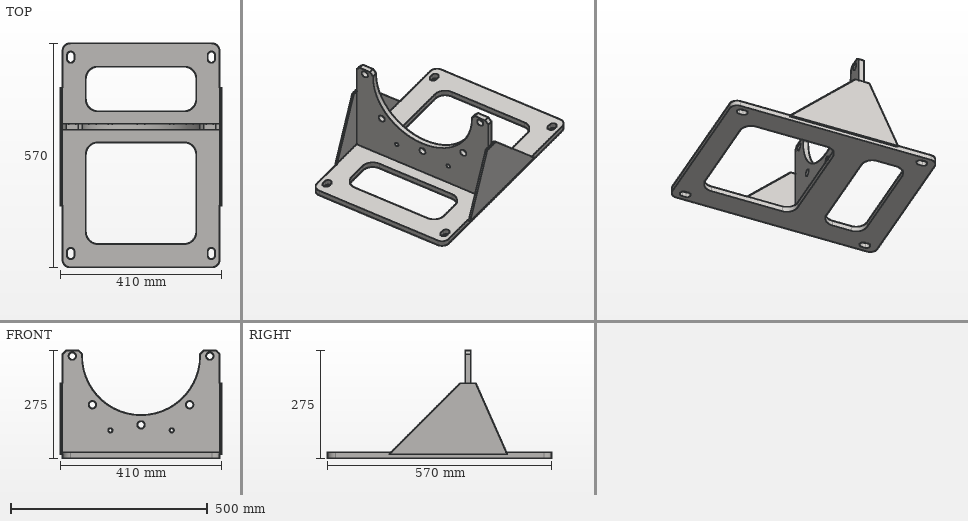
import cadquery as cq
import math

overall_width = 410.0
overall_depth = 570.0
overall_height = 275.0
gusset_thickness = 5.0
plate_width = overall_width - 2 * gusset_thickness

base_thickness = 16.0
base_corner_radius = 20.0
opening_rim = 60.0
opening_web = 80.0
opening_corner_radius = 30.0
slot_width = 18.0
slot_length = 28.0
slot_inset_x = 21.0
slot_inset_y = 35.5

cradle_thickness = 15.0
cradle_y = 72.5
arm_width = 50.0
arm_chamfer = 9.5
saddle_radius = plate_width / 2 - arm_width
saddle_drop = 15.0
saddle_z = overall_height - saddle_drop
bolt_circle_radius = saddle_radius + arm_width / 2
bolt_hole_diameter = 18.0
bolt_angles = range(180, 361, 45)
small_hole_diameter = 10.0
small_hole_x = 78.0
small_hole_z = 71.0

gusset_lap = gusset_thickness
gusset_bottom = base_thickness - gusset_lap
gusset_height = 180.0
gusset_top_half = 20.0
gusset_reach_back = 100.0
gusset_reach_front = 200.0


def base_opening(y_front, y_back):
    """Cutter for a rounded rectangular window between two Y positions."""
    return (
        cq.Workplane("XY")
        .center(0, (y_front + y_back) / 2)
        .rect(plate_width - 2 * opening_rim, y_back - y_front)
        .extrude(base_thickness)
        .edges("|Z")
        .fillet(opening_corner_radius)
    )


def make_base():
    """Flat base with two windows and a mounting slot at each corner."""
    plate = (
        cq.Workplane("XY")
        .rect(plate_width, overall_depth)
        .extrude(base_thickness)
        .edges("|Z")
        .fillet(base_corner_radius)
    )
    slots = (
        cq.Workplane("XY")
        .rect(plate_width - 2 * slot_inset_x, overall_depth - 2 * slot_inset_y, forConstruction=True)
        .vertices()
        .slot2D(slot_length, slot_width, 90)
        .extrude(base_thickness)
    )
    rim_y = overall_depth / 2 - opening_rim
    front_opening = base_opening(-rim_y, cradle_y - opening_web / 2)
    back_opening = base_opening(cradle_y + opening_web / 2, rim_y)
    return plate.cut(slots).cut(front_opening).cut(back_opening)


def make_cradle():
    """Upright plate with a semicircular saddle, chamfered arms and bolt holes."""
    half_width = plate_width / 2
    shoulder_z = overall_height - arm_chamfer
    front_plane = cq.Workplane("XZ").workplane(offset=-(cradle_y + cradle_thickness / 2))
    plate = (
        front_plane
        .moveTo(-half_width, base_thickness)
        .lineTo(half_width, base_thickness)
        .lineTo(half_width, shoulder_z)
        .lineTo(half_width - arm_chamfer, overall_height)
        .lineTo(saddle_radius + arm_chamfer, overall_height)
        .lineTo(saddle_radius, shoulder_z)
        .lineTo(saddle_radius, saddle_z)
        .threePointArc((0, saddle_z - saddle_radius), (-saddle_radius, saddle_z))
        .lineTo(-saddle_radius, shoulder_z)
        .lineTo(-saddle_radius - arm_chamfer, overall_height)
        .lineTo(-half_width + arm_chamfer, overall_height)
        .lineTo(-half_width, shoulder_z)
        .close()
        .extrude(cradle_thickness)
    )
    bolt_points = [
        (
            bolt_circle_radius * math.cos(math.radians(angle)),
            saddle_z + bolt_circle_radius * math.sin(math.radians(angle)),
        )
        for angle in bolt_angles
    ]
    small_points = [(side * small_hole_x, small_hole_z) for side in (-1, 1)]
    bolt_holes = front_plane.pushPoints(bolt_points).circle(bolt_hole_diameter / 2).extrude(cradle_thickness)
    small_holes = front_plane.pushPoints(small_points).circle(small_hole_diameter / 2).extrude(cradle_thickness)
    return plate.cut(bolt_holes).cut(small_holes)


def make_gusset(start_x):
    """Side plate starting at start_x and extending gusset_thickness in +X."""
    gusset_top = gusset_bottom + gusset_height
    return (
        cq.Workplane("YZ")
        .workplane(offset=start_x)
        .moveTo(cradle_y - gusset_reach_front, gusset_bottom)
        .lineTo(cradle_y + gusset_reach_back, gusset_bottom)
        .lineTo(cradle_y + gusset_top_half, gusset_top)
        .lineTo(cradle_y - gusset_top_half, gusset_top)
        .close()
        .extrude(gusset_thickness)
    )


base = make_base()
cradle = make_cradle()
gussets = [make_gusset(x) for x in (-overall_width / 2, plate_width / 2)]

result = cq.Compound.makeCompound(
    [base.val(), cradle.val(), *[gusset.val() for gusset in gussets]]
)